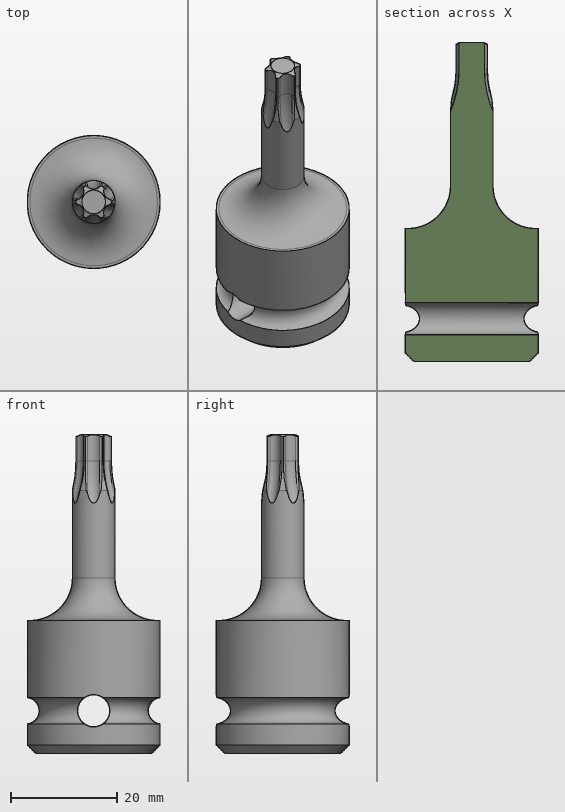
import cadquery as cq
import math

total_height = 60.0
body_diameter = 25.0
body_radius = body_diameter / 2
body_top = 25.0
base_chamfer = 1.6
shank_radius = 4.0
flare_radius = 8.0

pin_height = 8.05
groove_half_width = 2.45
groove_depth = 2.2
pin_hole_diameter = 6.0

lobe_count = 6
tip_radius = 3.35
root_radius = 2.4
lobe_round = 0.5
crest_half_angle = 15.0
flute_round = 1.7
tip_bottom = 55.0
neck_bottom = 49.5
end_face_radius = 2.2
end_chamfer_height = 0.4

runout_bottom = 47.1
runout_angle = 40.0
cutter_reach = 2.4


def tangent_arc_radius(length, offset):
    """Radius of an arc that starts along its length and drifts sideways by offset."""
    return (length**2 + offset**2) / (2 * offset)


def make_blank():
    """Turned body, flared shoulder, shank, neck and chamfered end."""
    flare_top = body_top + flare_radius
    flare_center = shank_radius + flare_radius
    flare_diagonal = flare_radius * math.sqrt(0.5)
    neck_length = tip_bottom - neck_bottom
    neck_arc = tangent_arc_radius(neck_length, shank_radius - tip_radius)
    neck_middle = (
        tip_radius + neck_arc - math.sqrt(neck_arc**2 - (neck_length / 2) ** 2),
        tip_bottom - neck_length / 2,
    )
    profile = (
        cq.Workplane("XZ")
        .lineTo(body_radius - base_chamfer, 0)
        .lineTo(body_radius, base_chamfer)
        .lineTo(body_radius, pin_height - groove_half_width)
        .threePointArc(
            (body_radius - groove_depth, pin_height),
            (body_radius, pin_height + groove_half_width),
        )
        .lineTo(body_radius, body_top)
        .lineTo(flare_center, body_top)
        .threePointArc(
            (flare_center - flare_diagonal, flare_top - flare_diagonal),
            (shank_radius, flare_top),
        )
        .lineTo(shank_radius, neck_bottom)
        .threePointArc(neck_middle, (tip_radius, tip_bottom))
        .lineTo(tip_radius, total_height - end_chamfer_height)
        .lineTo(end_face_radius, total_height)
        .lineTo(0, total_height)
        .close()
    )
    return profile.revolve(360, (0, 0), (0, 1))


def flute_profile():
    """Section between two neighbouring lobes, centred on +X at the tip bottom."""
    half_pitch = math.pi / lobe_count
    lobe_center_radius = tip_radius - lobe_round
    lobe_x = lobe_center_radius * math.cos(half_pitch)
    lobe_y = lobe_center_radius * math.sin(half_pitch)
    flute_x = root_radius + flute_round
    blend_angle = math.atan2(-lobe_y, flute_x - lobe_x)
    crest_angle = half_pitch - math.radians(crest_half_angle)
    middle_angle = (crest_angle + blend_angle) / 2

    def on_lobe(angle, side):
        return (
            lobe_x + lobe_round * math.cos(angle),
            side * (lobe_y + lobe_round * math.sin(angle)),
        )

    crest_upper = on_lobe(crest_angle, 1)
    crest_lower = on_lobe(crest_angle, -1)
    outer_x = tip_radius + cutter_reach
    return (
        cq.Workplane("XY", origin=(0, 0, tip_bottom))
        .moveTo(*crest_upper)
        .threePointArc(on_lobe(middle_angle, 1), on_lobe(blend_angle, 1))
        .threePointArc((root_radius, 0), on_lobe(blend_angle, -1))
        .threePointArc(on_lobe(middle_angle, -1), crest_lower)
        .lineTo(outer_x, crest_lower[1])
        .lineTo(outer_x, crest_upper[1])
        .close()
    )


def make_flute_cutter():
    """Straight flute along the tip, continued by a curved run-out into the shank."""
    straight = flute_profile().extrude(total_height - tip_bottom)
    runout_arc = tangent_arc_radius(tip_bottom - runout_bottom, shank_radius - root_radius)
    axis_x = root_radius + runout_arc
    runout = flute_profile().revolve(runout_angle, (axis_x, 0.6), (axis_x, 0))
    return straight.union(runout)


def make_pin_hole():
    """Cross hole through the body along Y."""
    return (
        cq.Workplane("XZ")
        .center(0, pin_height)
        .circle(pin_hole_diameter / 2)
        .extrude(body_radius, both=True)
    )


result = make_blank().cut(make_pin_hole())
flute_cutter = make_flute_cutter()
for index in range(lobe_count):
    angle = (index + 0.5) * 360 / lobe_count
    result = result.cut(flute_cutter.rotate((0, 0, 0), (0, 0, 1), angle))